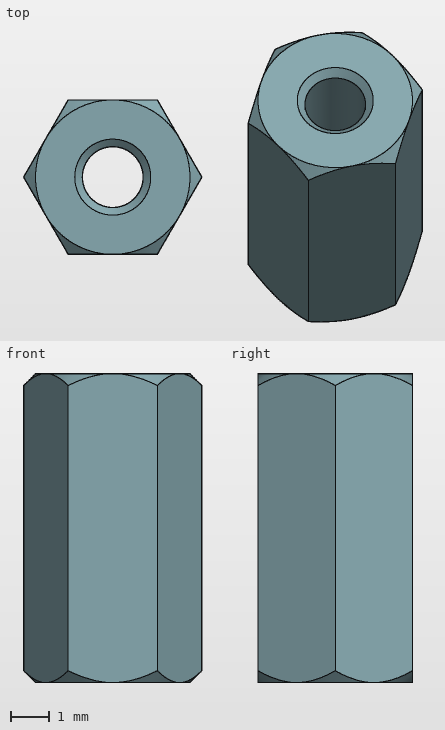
import cadquery as cq
import math

length = 8.0
across_flats = 4.0
bore_diameter = 1.57
countersink_diameter = 1.97
countersink_angle = 90.0

across_corners = across_flats / math.cos(math.radians(30))
flat_radius = across_flats / 2
corner_radius = across_corners / 2
corner_chamfer = corner_radius - flat_radius


def hex_body():
    return cq.Workplane("XY").polygon(6, across_corners).extrude(length)


def corner_envelope():
    """Round bar with beveled ends whose end faces touch the hexagon flats."""
    return cq.Workplane("XY").circle(corner_radius).extrude(length).faces("<Z or >Z").chamfer(corner_chamfer)


def countersunk_bore(body):
    """Through bore, countersunk from both ends."""
    for end in (">Z", "<Z"):
        body = (
            body.faces(end)
            .workplane(centerOption="CenterOfBoundBox")
            .cskHole(bore_diameter, countersink_diameter, countersink_angle)
        )
    return body


result = countersunk_bore(hex_body().intersect(corner_envelope()))